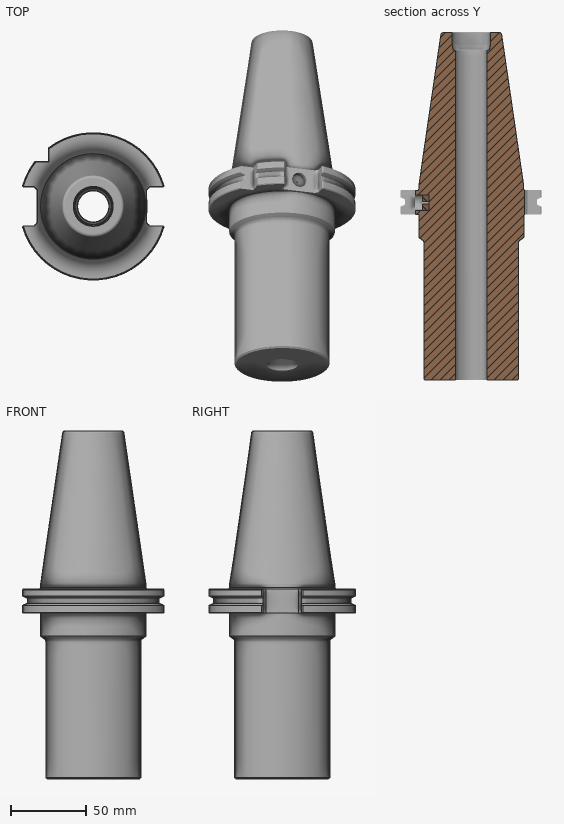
import cadquery as cq
import math

TOTAL_LENGTH = 230.6
TAPER_LENGTH = 101.75
TOP_Z = TAPER_LENGTH
BOTTOM_Z = TOP_Z - TOTAL_LENGTH

GAUGE_RADIUS = 69.85 / 2
TAPER_RATIO = 7 / 24
TAPER_TOP_RADIUS = GAUGE_RADIUS - TAPER_LENGTH * TAPER_RATIO / 2
TIP_ROUND = 2.0
TAPER_FOOT_ROUND = 0.8

FLANGE_RADIUS = 97.5 / 2
FLANGE_TOP_Z = -3.0
FLANGE_BOTTOM_Z = -19.1
FLANGE_CHAMFER = 0.6
GROOVE_Z = -10.8
GROOVE_DEPTH = 3.2
GROOVE_FLOOR_HALF_WIDTH = 1.7
GROOVE_HALF_ANGLE = math.radians(26)
GROOVE_MOUTH_HALF_WIDTH = GROOVE_FLOOR_HALF_WIDTH + GROOVE_DEPTH * math.tan(GROOVE_HALF_ANGLE)

COLLAR_RADIUS = 70 / 2
COLLAR_BOTTOM_Z = -34.2
SHANK_RADIUS = 63 / 2
SHOULDER_SLOPE = math.radians(35)
SHOULDER_ROUND = 1.8
SHANK_CHAMFER = 1.0
SHOULDER_FOOT_Z = COLLAR_BOTTOM_Z - (COLLAR_RADIUS - SHANK_RADIUS) * math.tan(SHOULDER_SLOPE)

SLOT_WIDTH = 25.7
SLOT_CORNER = 2.0
SLOT_MOUTH_CHAMFER = 0.8
LEFT_SLOT_X = -37.2
RIGHT_SLOT_X = 35.3
NOTCH_OFFSET = 29.6

BORE_RADIUS = 25 / 2
BORE_RIM_CHAMFER = 0.7
BORE_DEPTH = 8.3
LEAD_IN_RADIUS = 24 / 2
LEAD_IN_DEPTH = 11.3
CORE_RADIUS = 20.75 / 2
COUNTERSINK_SLOPE = math.radians(30)
CORE_DEPTH = LEAD_IN_DEPTH + (LEAD_IN_RADIUS - CORE_RADIUS) * math.tan(COUNTERSINK_SLOPE)

CHIP_RADIUS = 10 / 2
CHIP_RECESS = 4.6
CHIP_THICKNESS = 4.5
CHIP_HOLE_RADIUS = 0.65
CHIP_Z = (FLANGE_TOP_Z + FLANGE_BOTTOM_Z) / 2

EDGE_PICK_MARGIN = 0.1


def fillet_circle(body, radius, z, round_radius):
    """Round the circular edge of the given radius at height z."""
    half = radius + EDGE_PICK_MARGIN
    picker = cq.selectors.BoxSelector(
        (-half, -half, z - EDGE_PICK_MARGIN),
        (half, half, z + EDGE_PICK_MARGIN),
        boundingbox=True,
    )
    return body.edges(picker).fillet(round_radius)


def revolved_blank():
    """Solid taper, flange, collar and shank."""
    profile = (
        cq.Workplane("XZ")
        .moveTo(0, BOTTOM_Z)
        .lineTo(SHANK_RADIUS - SHANK_CHAMFER, BOTTOM_Z)
        .lineTo(SHANK_RADIUS, BOTTOM_Z + SHANK_CHAMFER)
        .lineTo(SHANK_RADIUS, SHOULDER_FOOT_Z)
        .lineTo(COLLAR_RADIUS, COLLAR_BOTTOM_Z)
        .lineTo(COLLAR_RADIUS, FLANGE_BOTTOM_Z)
        .lineTo(FLANGE_RADIUS - FLANGE_CHAMFER, FLANGE_BOTTOM_Z)
        .lineTo(FLANGE_RADIUS, FLANGE_BOTTOM_Z + FLANGE_CHAMFER)
        .lineTo(FLANGE_RADIUS, GROOVE_Z - GROOVE_MOUTH_HALF_WIDTH)
        .lineTo(FLANGE_RADIUS - GROOVE_DEPTH, GROOVE_Z - GROOVE_FLOOR_HALF_WIDTH)
        .lineTo(FLANGE_RADIUS - GROOVE_DEPTH, GROOVE_Z + GROOVE_FLOOR_HALF_WIDTH)
        .lineTo(FLANGE_RADIUS, GROOVE_Z + GROOVE_MOUTH_HALF_WIDTH)
        .lineTo(FLANGE_RADIUS, FLANGE_TOP_Z - FLANGE_CHAMFER)
        .lineTo(FLANGE_RADIUS - FLANGE_CHAMFER, FLANGE_TOP_Z)
        .lineTo(GAUGE_RADIUS, FLANGE_TOP_Z)
        .lineTo(GAUGE_RADIUS, 0)
        .lineTo(TAPER_TOP_RADIUS, TOP_Z)
        .lineTo(0, TOP_Z)
        .close()
    )
    blank = profile.revolve(360, (0, 0, 0), (0, 1, 0))
    blank = blank.faces(">Z").edges().fillet(TIP_ROUND)
    blank = fillet_circle(blank, GAUGE_RADIUS, FLANGE_TOP_Z, TAPER_FOOT_ROUND)
    return fillet_circle(blank, SHANK_RADIUS, SHOULDER_FOOT_Z, SHOULDER_ROUND)


def bore_cutter():
    """Through bore with a chamfered rim, a tapered lead-in and a countersunk core hole."""
    return (
        cq.Workplane("XZ")
        .moveTo(0, BOTTOM_Z)
        .lineTo(CORE_RADIUS, BOTTOM_Z)
        .lineTo(CORE_RADIUS, TOP_Z - CORE_DEPTH)
        .lineTo(LEAD_IN_RADIUS, TOP_Z - LEAD_IN_DEPTH)
        .lineTo(BORE_RADIUS, TOP_Z - BORE_DEPTH)
        .lineTo(BORE_RADIUS, TOP_Z - BORE_RIM_CHAMFER)
        .lineTo(BORE_RADIUS + BORE_RIM_CHAMFER, TOP_Z)
        .lineTo(0, TOP_Z)
        .close()
        .revolve(360, (0, 0, 0), (0, 1, 0))
    )


def notch_cutter():
    """Square orientation notch beside the left drive slot."""
    side = FLANGE_RADIUS - NOTCH_OFFSET
    return (
        cq.Workplane("XY", origin=(-NOTCH_OFFSET, NOTCH_OFFSET, FLANGE_BOTTOM_Z))
        .rect(-side, side, centered=False)
        .extrude(FLANGE_TOP_Z - FLANGE_BOTTOM_Z)
    )


def slot_cutter(floor_x):
    """Drive slot with bevelled floor corners and a flared mouth, open to the outside."""
    side = math.copysign(1, floor_x)
    half_width = SLOT_WIDTH / 2
    mouth_half_width = half_width + SLOT_MOUTH_CHAMFER
    mouth_x = math.sqrt(FLANGE_RADIUS**2 - mouth_half_width**2)
    outside_half_width = mouth_half_width + FLANGE_RADIUS - mouth_x
    upper_outline = [
        (abs(floor_x), half_width - SLOT_CORNER),
        (abs(floor_x) + SLOT_CORNER, half_width),
        (mouth_x - SLOT_MOUTH_CHAMFER, half_width),
        (FLANGE_RADIUS, outside_half_width),
    ]
    upper_side = [(side * x, y) for x, y in upper_outline]
    lower_side = [(side * x, -y) for x, y in reversed(upper_outline)]
    return (
        cq.Workplane("XY", origin=(0, 0, FLANGE_BOTTOM_Z))
        .polyline(upper_side + lower_side)
        .close()
        .extrude(FLANGE_TOP_Z - FLANGE_BOTTOM_Z)
    )


def chip_cylinder(radius, start_x, length):
    """Cylinder on the chip axis, running inward from start_x."""
    return cq.Workplane("YZ", origin=(start_x, 0, CHIP_Z)).circle(radius).extrude(length)


def make_holder():
    holder = revolved_blank().cut(bore_cutter())
    for floor_x in (LEFT_SLOT_X, RIGHT_SLOT_X):
        holder = holder.cut(slot_cutter(floor_x))
    pocket = chip_cylinder(CHIP_RADIUS, LEFT_SLOT_X, CHIP_RECESS + CHIP_THICKNESS)
    return holder.cut(notch_cutter()).cut(pocket)


def make_data_chip():
    face_x = LEFT_SLOT_X + CHIP_RECESS
    disc = chip_cylinder(CHIP_RADIUS, face_x, CHIP_THICKNESS)
    return disc.cut(chip_cylinder(CHIP_HOLE_RADIUS, face_x, CHIP_THICKNESS))


holder = make_holder()
data_chip = make_data_chip()

result = cq.Compound.makeCompound([holder.val(), data_chip.val()])